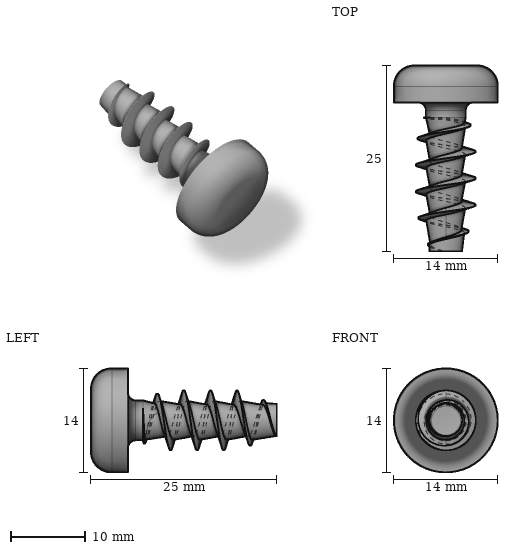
import cadquery as cq
import math


head_radius = 7.0
head_height = 5.0
head_round = 2.8
rim_round = 0.12

length = 19.99
tip_radius = 2.1
dish_radius = 1.97
dish_depth = 0.12
neck_radius = 2.7
neck_length = 2.0
neck_fillet = 1.0
relief_length = 2.0
core_radius = 2.19

pitch = 3.58
flank_angle = 15.0
crest_width = 0.04
thread_radius = 4.03
first_crest_radius = 3.14
first_crest_y = -2.12
thick_core_radius = 2.63
slope_gap = 0.04
slope_sink = 0.01
buried_radius = 1.99

run_in_turns = 0.35
full_thread_start = 1.0
taper_start = 3.5
thread_end = 5.0
core_taper_turns = 1.0
points_per_turn = 24


def blend(start, end, fraction):
    return start + (end - start) * min(max(fraction, 0.0), 1.0)


def core_radius_at(y):
    """Radius of the core, which tapers evenly from the end of the relief to the tip."""
    start_y = -neck_length - relief_length
    return core_radius + (tip_radius - core_radius) * (y - start_y) / (-length - start_y)


def crest_radius(turn):
    if turn < 0:
        return blend(first_crest_radius, neck_radius, (turn / run_in_turns) ** 2)
    if turn < taper_start:
        return blend(first_crest_radius, thread_radius, turn / full_thread_start)
    taper = (turn - taper_start) / (thread_end - taper_start)
    return blend(thread_radius, tip_radius, taper)


def ridge_section(turn):
    """Corners (radius, Y) of one turn: ridge, core slope and the edge buried in the core."""
    helix_y = first_crest_y - pitch * turn
    crest_y = helix_y
    if turn < 0:
        crest_y = blend(first_crest_y, -neck_length, -turn / run_in_turns)
    crest = crest_radius(turn)
    core_taper = (turn - thread_end) / core_taper_turns + 1
    thick = blend(thick_core_radius, tip_radius - slope_sink, core_taper)
    flank = math.tan(math.radians(flank_angle))
    half_crest = crest_width / 2
    next_ridge_half_width = half_crest + flank * (crest_radius(turn + 1) - core_radius)
    slope_end_y = helix_y - pitch + next_ridge_half_width + slope_gap
    return [
        (crest, crest_y + half_crest),
        (crest, crest_y - half_crest),
        (thick, crest_y - half_crest - flank * (crest - thick)),
        (core_radius_at(slope_end_y) - slope_sink, slope_end_y),
        (buried_radius, crest_y + half_crest + flank * (crest - buried_radius)),
    ]


def section_points(turn):
    angle = 2 * math.pi * turn
    return [cq.Vector(r * math.sin(angle), y, -r * math.cos(angle)) for r, y in ridge_section(turn)]


def end_cap(turn):
    return cq.Face.makeFromWires(cq.Wire.makePolygon(section_points(turn), close=True))


def flank_faces(start, end):
    """Ruled faces between the spirals traced by neighbouring section corners."""
    steps = math.ceil((end - start) * points_per_turn)
    sections = [section_points(start + (end - start) * i / steps) for i in range(steps + 1)]
    spirals = [cq.Edge.makeSpline(list(path)) for path in zip(*sections)]
    return [
        cq.Face.makeRuledSurface(spirals[i], spirals[(i + 1) % len(spirals)])
        for i in range(len(spirals))
    ]


def make_thread():
    stations = [
        -run_in_turns,
        0.0,
        full_thread_start,
        taper_start,
        thread_end - core_taper_turns,
        thread_end,
    ]
    faces = [end_cap(stations[0]), end_cap(stations[-1])]
    for start, end in zip(stations, stations[1:]):
        faces += flank_faces(start, end)
    thread = cq.Workplane(obj=cq.Solid.makeSolid(cq.Shell.makeShell(faces)))
    limit = cq.Workplane("XZ").circle(head_radius).extrude(length)
    return thread.intersect(limit)


def make_body():
    """Head, neck and smooth core, revolved about the Y axis."""
    diagonal = math.sqrt(0.5)
    round_x = head_radius - head_round
    round_y = head_height - head_round
    fillet_x = neck_radius + neck_fillet
    profile = (
        cq.Workplane("XY")
        .moveTo(0, head_height)
        .lineTo(round_x, head_height)
        .threePointArc(
            (round_x + head_round * diagonal, round_y + head_round * diagonal),
            (head_radius, round_y),
        )
        .lineTo(head_radius, rim_round)
        .threePointArc(
            (head_radius - rim_round * (1 - diagonal), rim_round * (1 - diagonal)),
            (head_radius - rim_round, 0),
        )
        .lineTo(fillet_x, 0)
        .threePointArc(
            (fillet_x - neck_fillet * diagonal, neck_fillet * (diagonal - 1)),
            (neck_radius, -neck_fillet),
        )
        .lineTo(neck_radius, -neck_length)
        .lineTo(core_radius, -neck_length - relief_length)
        .lineTo(tip_radius, -length)
        .lineTo(0, -length)
        .close()
    )
    return profile.revolve(360, (0, 0, 0), (0, 1, 0))


def make_tip_dish():
    """Ball that hollows the end face into a shallow dish."""
    ball_radius = (dish_radius**2 + dish_depth**2) / (2 * dish_depth)
    return cq.Workplane("XY").sphere(ball_radius).translate((0, dish_depth - length - ball_radius, 0))


result = make_body().union(make_thread()).cut(make_tip_dish())